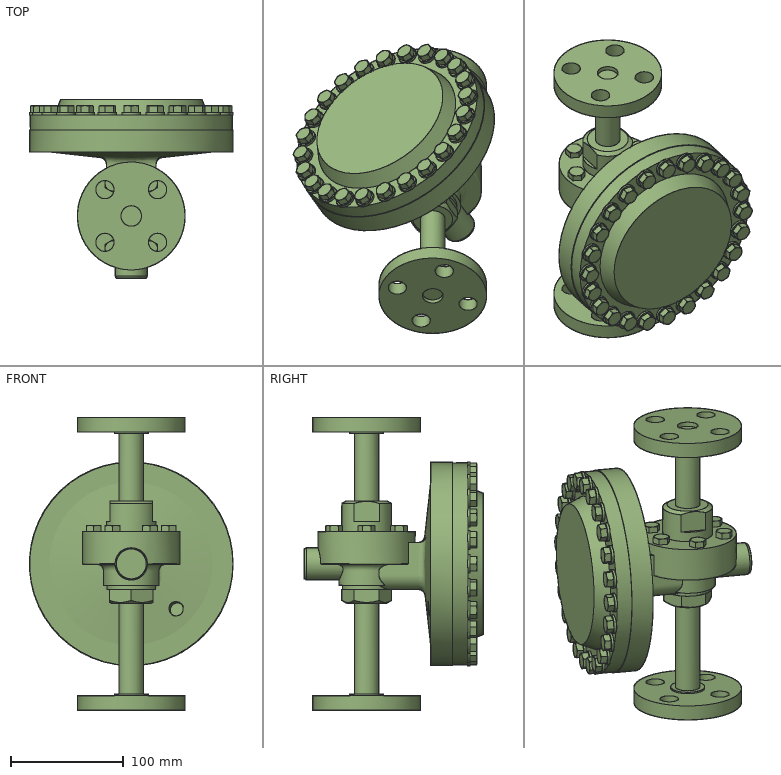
import cadquery as cq
import math


overall_height = 260.4
flange_radius = 48.0
flange_thickness = 13.3
flange_hole_radius = 8.0
flange_bolt_circle_radius = 33.0
flange_hole_count = 4
flange_hole_start_angle = 45
collar_radius = 15.0
collar_thickness = 1.3
pipe_radius = 11.0
socket_radius = 9.0
socket_depth = 4.0

body_radius = 43.2
body_bottom = -0.5
body_edge_round = 1.0
body_top = 28.6
spigot_radius = 24.7
spigot_bottom = -19.0
spigot_fillet = 5.5
nut_neck_radius = 21.5
nut_top = -23.0
nut_bottom = -35.1
nut_corner_radius = 22.0
nut_chamfer = 2.5
gland_radius = 22.0
gland_top = 56.0
gland_bevel_height = 2.3
gland_bevel_width = 4.0
gland_flat_offset = 19.0
gland_flat_bottom = 37.5

bolt_across_flats = 13.0
bolt_corner_radius = bolt_across_flats / math.sqrt(3)
bolt_chamfer = 0.5
bonnet_bolt_height = 5.5
bonnet_bolt_circle_radius = 33.3
bonnet_bolt_count = 6

port_radius = 14.3
port_end = 55.5
port_bevel_length = 2.0
port_bevel_width = 1.0

housing_diameter = 181.0
housing_radius = housing_diameter / 2
housing_front = 56.8
housing_joint = 76.3
cover_radius = 89.8
cover_back = 89.8
dish_radius = 72.5
dish_slope = 0.11
dish_apex = housing_front - dish_slope * dish_radius
crown_base_radius = 68.5
crown_top_radius = 62.7
crown_back = 103.5
washer_radius = 8.3
washer_thickness = 2.3
washer_sink = 0.3
cover_bolt_height = 6.0
cover_bolt_count = 24
cover_bolt_circle_radius = housing_radius - washer_radius

neck_half_width = 22.0
neck_top = 19.0
neck_bottom = -23.0
neck_corner_radius = 12.8
neck_fillet = 5.7

vent_x = 39.8
vent_z = -39.8
vent_radius = 6.2
vent_depth = 13.0
vent_tilt = 7.0
vent_clearance = 5.2


def cylinder(radius, bottom, top):
    """Cylinder about Z between two heights."""
    return cq.Workplane("XY").workplane(offset=bottom).circle(radius).extrude(top - bottom)


def bevelled_cylinder(radius, bottom, top, bevel_height, bevel_width):
    """Cylinder about Z whose upper edge is bevelled by a cone."""
    return (
        cq.Workplane("XZ")
        .moveTo(0, bottom)
        .lineTo(radius, bottom)
        .lineTo(radius, top - bevel_height)
        .lineTo(radius - bevel_width, top)
        .lineTo(0, top)
        .close()
        .revolve(360, (0, 0, 0), (0, 1, 0))
    )


def hexagon_head(corner_radius, height, chamfer):
    """Hexagon head standing on Z = 0, its upper corners turned down to a 30 degree cone."""
    head = cq.Workplane("XY").polygon(6, 2 * corner_radius).extrude(height)
    turned = bevelled_cylinder(corner_radius, 0, height, chamfer, chamfer * math.sqrt(3))
    return head.intersect(turned)


def make_flange_end():
    """Upper pipe flange with its collar and bolt holes."""
    top = overall_height / 2
    collar_bottom = top - flange_thickness - collar_thickness
    flange = cylinder(flange_radius, top - flange_thickness, top)
    flange = flange.union(cylinder(collar_radius, collar_bottom, top - flange_thickness))
    holes = (
        cq.Workplane("XY")
        .workplane(offset=collar_bottom)
        .polarArray(flange_bolt_circle_radius, flange_hole_start_angle, 360, flange_hole_count)
        .circle(flange_hole_radius)
        .extrude(flange_thickness + collar_thickness)
    )
    return flange.cut(holes)


def make_body():
    """Round valve body with its bonnet, flatted gland, lower spigot and nut."""
    body = cylinder(body_radius, body_bottom, body_top)
    body = body.faces("<Z").edges().fillet(body_edge_round)
    spigot = (
        cq.Workplane("XZ")
        .moveTo(0, body_bottom)
        .lineTo(spigot_radius + spigot_fillet, body_bottom)
        .radiusArc((spigot_radius, body_bottom - spigot_fillet), -spigot_fillet)
        .lineTo(spigot_radius, spigot_bottom)
        .lineTo(0, spigot_bottom)
        .close()
        .revolve(360, (0, 0, 0), (0, 1, 0))
    )
    body = body.union(spigot)
    body = body.union(cylinder(nut_neck_radius, nut_top, spigot_bottom))

    nut = hexagon_head(nut_corner_radius, nut_top - nut_bottom, nut_chamfer)
    nut = nut.rotate((0, 0, 0), (0, 0, 1), 90).mirror("XY").translate((0, 0, nut_top))
    body = body.union(nut)

    gland = bevelled_cylinder(gland_radius, body_top, gland_top, gland_bevel_height, gland_bevel_width)
    shank = cylinder(gland_radius, body_top, gland_flat_bottom)
    flatted = (
        cq.Workplane("XY")
        .workplane(offset=body_top)
        .rect(2 * gland_flat_offset, 2 * gland_radius)
        .extrude(gland_top - body_top)
    )
    return body.union(gland.intersect(flatted.union(shank)))


def add_bonnet_bolts(body):
    """Ring of bolt heads on the bonnet."""
    head = hexagon_head(bolt_corner_radius, bonnet_bolt_height, bolt_chamfer)
    head = head.rotate((0, 0, 0), (0, 0, 1), 90)
    for index in range(bonnet_bolt_count):
        angle = 2 * math.pi * index / bonnet_bolt_count
        x = bonnet_bolt_circle_radius * math.cos(angle)
        y = bonnet_bolt_circle_radius * math.sin(angle)
        body = body.union(head.translate((x, y, body_top)))
    return body


def make_port():
    """Closed side port with a bevelled end."""
    port = bevelled_cylinder(port_radius, 0, port_end, port_bevel_length, port_bevel_width)
    return port.rotate((0, 0, 0), (1, 0, 0), 90)


def make_housing():
    """Diaphragm housing: dished front, joint step and tapered crown at the back."""
    return (
        cq.Workplane("XY")
        .moveTo(0, dish_apex)
        .lineTo(dish_radius, housing_front)
        .lineTo(housing_radius, housing_front)
        .lineTo(housing_radius, housing_joint)
        .lineTo(cover_radius, housing_joint)
        .lineTo(cover_radius, cover_back)
        .lineTo(crown_base_radius, cover_back)
        .lineTo(crown_top_radius, crown_back)
        .lineTo(0, crown_back)
        .close()
        .revolve(360, (0, 0, 0), (0, 1, 0))
    )


def add_neck(housing):
    """Neck with rounded lower corners, blended into the dished face."""
    neck = (
        cq.Workplane("XZ")
        .center(0, (neck_top + neck_bottom) / 2)
        .rect(2 * neck_half_width, neck_top - neck_bottom)
        .extrude(-housing_front)
    )
    neck = neck.edges("|Y and <Z").fillet(neck_corner_radius)
    reach = 2 * neck_half_width
    blend_zone = cq.selectors.BoxSelector(
        (-reach, dish_apex, -reach),
        (reach, dish_apex + dish_slope * reach, reach),
    )
    return housing.union(neck).edges(blend_zone).fillet(neck_fillet)


def add_cover_bolts(housing):
    """Ring of bolt heads on washers around the back cover."""
    washer = cylinder(washer_radius, -washer_sink, washer_thickness - washer_sink)
    head = hexagon_head(bolt_corner_radius, cover_bolt_height, bolt_chamfer)
    bolt = washer.union(head.translate((0, 0, washer_thickness - washer_sink)))
    bolt = bolt.rotate((0, 0, 0), (1, 0, 0), -90)
    bolt = bolt.translate((cover_bolt_circle_radius, cover_back, 0))
    for index in range(cover_bolt_count):
        angle = 360 * index / cover_bolt_count
        housing = housing.union(bolt.rotate((0, 0, 0), (0, 1, 0), angle))
    return housing


def make_vent():
    """Blind round hole that leans away from the housing axis as it goes deeper."""
    drill = cylinder(vent_radius, -vent_clearance, vent_depth)
    drill = drill.rotate((0, 0, 0), (0, 1, 0), vent_tilt)
    bearing = math.degrees(math.atan2(-vent_z, vent_x))
    surface = dish_apex + dish_slope * math.hypot(vent_x, vent_z)
    drill = drill.rotate((0, 0, 0), (0, 0, 1), bearing)
    return drill.rotate((0, 0, 0), (1, 0, 0), -90).translate((vent_x, surface, vent_z))


housing = add_cover_bolts(add_neck(make_housing())).cut(make_vent())
flange_end = make_flange_end()
pipe = cylinder(pipe_radius, -overall_height / 2, overall_height / 2)
socket = cylinder(socket_radius, overall_height / 2 - socket_depth, overall_height / 2)

result = housing.union(make_body()).union(make_port()).union(pipe)
for end, recess in ((flange_end, socket), (flange_end.mirror("XY"), socket.mirror("XY"))):
    result = result.union(end).cut(recess)
result = add_bonnet_bolts(result)